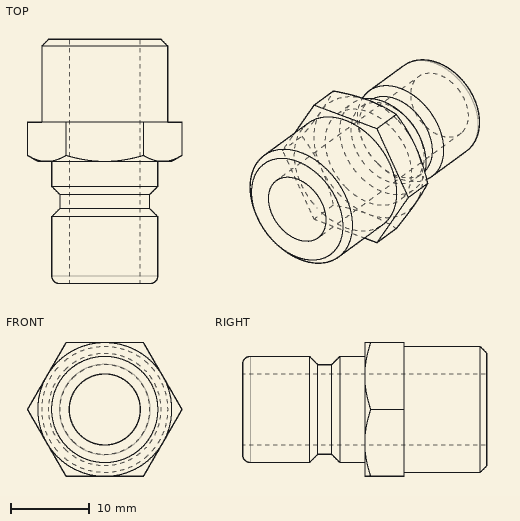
import cadquery as cq
import math

length = 31.0
groove_start = 8.5
groove_end = 12.35
hex_start = 15.5
hex_thickness = 5.0
hex_end = hex_start + hex_thickness

nose_diameter = 13.5
groove_diameter = 11.4
bore_diameter = 9.0
tail_diameter = 16.0
hex_across_flats = 17.0

nose_round = 1.0
tail_chamfer = 0.87
hex_chamfer_angle = math.radians(30)

nose_radius = nose_diameter / 2
groove_radius = groove_diameter / 2
groove_depth = nose_radius - groove_radius
tail_radius = tail_diameter / 2
hex_flat_radius = hex_across_flats / 2
hex_corner_radius = hex_flat_radius / math.cos(math.pi / 6)


def revolve_about_y(profile):
    """Turn a closed half profile, drawn as (radius, y), about the Y axis."""
    return profile.close().revolve(360, (0, 0, 0), (0, 1, 0))


def make_nose():
    """Plug end with a rounded tip and a groove with 45 degree flanks."""
    round_offset = nose_round * (1 - math.sqrt(0.5))
    profile = (
        cq.Workplane("XY")
        .lineTo(nose_radius - nose_round, 0)
        .threePointArc((nose_radius - round_offset, round_offset), (nose_radius, nose_round))
        .lineTo(nose_radius, groove_start)
        .lineTo(groove_radius, groove_start + groove_depth)
        .lineTo(groove_radius, groove_end - groove_depth)
        .lineTo(nose_radius, groove_end)
        .lineTo(nose_radius, hex_start)
        .lineTo(0, hex_start)
    )
    return revolve_about_y(profile)


def make_hexagon():
    """Hexagon with corners on X and a conical chamfer on its nose-side face."""
    prism = (
        cq.Workplane("XZ", origin=(0, hex_start, 0))
        .polygon(6, 2 * hex_corner_radius)
        .extrude(-hex_thickness)
    )
    chamfer_depth = (hex_corner_radius - hex_flat_radius) * math.tan(hex_chamfer_angle)
    chamfer_envelope = revolve_about_y(
        cq.Workplane("XY")
        .moveTo(0, hex_start)
        .lineTo(hex_flat_radius, hex_start)
        .lineTo(hex_corner_radius, hex_start + chamfer_depth)
        .lineTo(hex_corner_radius, hex_end)
        .lineTo(0, hex_end)
    )
    return prism.intersect(chamfer_envelope)


def make_tail():
    """Larger plain cylinder with a chamfered outer end."""
    return (
        cq.Workplane("XZ", origin=(0, hex_end, 0))
        .circle(tail_radius)
        .extrude(hex_end - length)
        .faces(">Y")
        .chamfer(tail_chamfer)
    )


def make_bore():
    """Straight through bore."""
    return cq.Workplane("XZ").circle(bore_diameter / 2).extrude(-length)


result = make_nose().union(make_hexagon()).union(make_tail()).cut(make_bore())